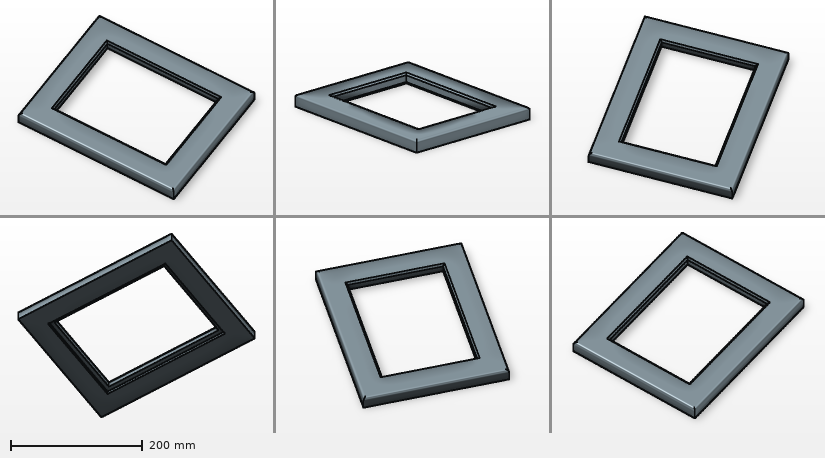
import cadquery as cq

length = 280.0
width = 230.0
height = 20.0
edge_radius = 5.0

window_length = 200.0
window_width = 150.0
bevel = 3.0

rebate_depth = 6.0
rebate_ledge = 7.0


def frame_body():
    """Solid slab with its outer top edges rounded."""
    slab = cq.Workplane("XY").box(length, width, height, centered=(True, True, False))
    return slab.faces(">Z").edges().fillet(edge_radius)


def window_block(margin, depth):
    """Block rising from Z = 0, larger than the window by a margin on every side."""
    return cq.Workplane("XY").rect(window_length + 2 * margin, window_width + 2 * margin).extrude(depth)


def window_bevel():
    """Tapered cutter that widens the window towards the top face."""
    return (
        cq.Workplane("XY")
        .workplane(offset=height - bevel)
        .rect(window_length, window_width)
        .workplane(offset=bevel)
        .rect(window_length + 2 * bevel, window_width + 2 * bevel)
        .loft(ruled=True)
    )


window = window_block(0, height)
rebate = window_block(rebate_ledge, rebate_depth)

result = frame_body().cut(window).cut(window_bevel()).cut(rebate)